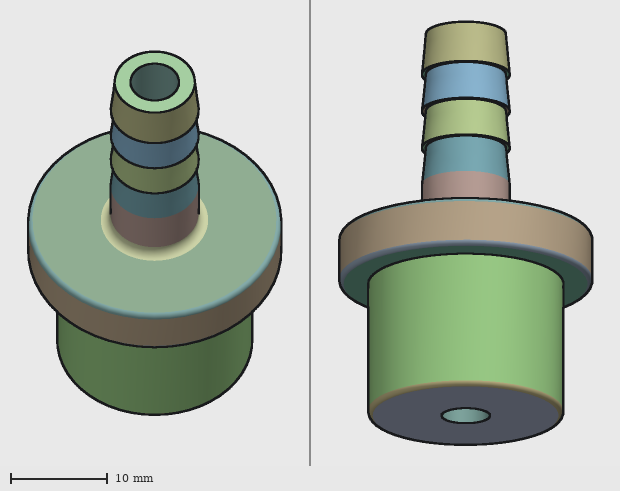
import cadquery as cq

total_height = 41.5
bore_diameter = 5.0
edge_fillet = 0.5

spigot_diameter = 20.2
spigot_height = 14.3

flange_diameter = 26.2
flange_thickness = 5.2

stem_diameter = 9.1
root_fillet = 1.0
barb_tip_diameter = 8.3
barb_count = 4
barb_pitch = 4.0
lead_barb_height = 4.4

flange_top = spigot_height + flange_thickness
barbs_height = (barb_count - 1) * barb_pitch + lead_barb_height
barbs_bottom = total_height - barbs_height


def cylinder(diameter, bottom, height):
    """Cylinder on the Z axis starting at the given level."""
    return cq.Workplane("XY").workplane(offset=bottom).circle(diameter / 2).extrude(height)


def make_spigot():
    """Plain lower spigot with a rounded free end."""
    return cylinder(spigot_diameter, 0, spigot_height).faces("<Z").edges().fillet(edge_fillet)


def make_flange():
    """Collar with both rims rounded."""
    return cylinder(flange_diameter, spigot_height, flange_thickness).edges().fillet(edge_fillet)


def make_stem_base():
    """Plain part of the stem, flaring into the flange through a concave root fillet."""
    stem_radius = stem_diameter / 2
    root_radius = stem_radius + root_fillet
    profile = (
        cq.Workplane("XZ")
        .moveTo(0, flange_top)
        .lineTo(root_radius, flange_top)
        .radiusArc((stem_radius, flange_top + root_fillet), root_fillet)
        .lineTo(stem_radius, barbs_bottom)
        .lineTo(0, barbs_bottom)
        .close()
    )
    return profile.revolve(360, (0, 0, 0), (0, 1, 0))


def make_barb(bottom, height):
    """Conical barb that widens downward to the stem diameter."""
    base_radius = stem_diameter / 2
    tip_radius = barb_tip_diameter / 2
    profile = (
        cq.Workplane("XZ")
        .moveTo(0, bottom)
        .lineTo(base_radius, bottom)
        .lineTo(tip_radius, bottom + height)
        .lineTo(0, bottom + height)
        .close()
    )
    return profile.revolve(360, (0, 0, 0), (0, 1, 0))


body = make_spigot().union(make_flange()).union(make_stem_base())

for index in range(barb_count):
    is_lead = index == barb_count - 1
    height = lead_barb_height if is_lead else barb_pitch
    body = body.union(make_barb(barbs_bottom + index * barb_pitch, height))

result = body.cut(cylinder(bore_diameter, 0, total_height))